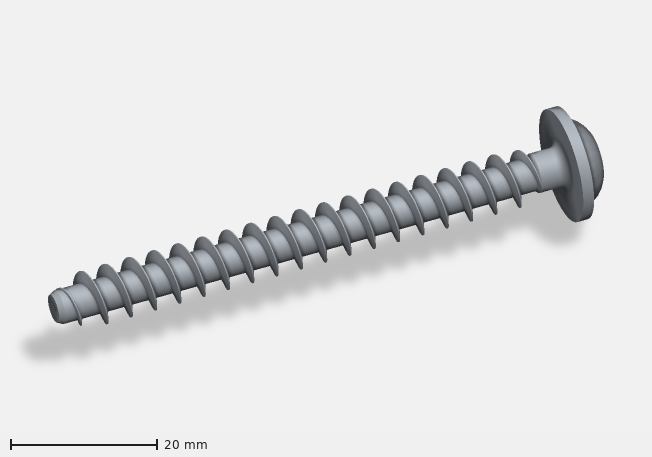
import cadquery as cq
import math

total_length = 79.8

flange_diameter = 16.0
flange_thickness = 1.6
dome_height = 3.2
dome_base_radius = 6.5
dome_top_radius = 3.75
dome_bulge = 0.5

shank_radius = 2.8
shank_length = 4.0
neck_fillet = 1.0
core_diameter = 4.8
core_taper_length = 0.5
tip_radius = 2.0
tip_taper_length = 0.8
tip_dimple_depth = 0.2

thread_diameter = 8.05
pitch = 3.6
crest_width = 0.15
root_width = 1.35
root_overlap = 0.2
buried_depth = 0.1
thread_start = 2.55
thread_end = 74.2
crest_distance = 7.7
fade_in_turns = 1.0
fade_out_turns = 1.2
points_per_turn = 16

flange_radius = flange_diameter / 2
core_radius = core_diameter / 2
thread_radius = thread_diameter / 2
head_height = flange_thickness + dome_height
tip_y = head_height - total_length


def dome_middle():
    """Point halfway along the dome arc, as (radius, Y)."""
    radial_span = dome_base_radius - dome_top_radius
    chord = math.hypot(radial_span, dome_height)
    radius = dome_top_radius + radial_span / 2 + dome_bulge * dome_height / chord
    y = flange_thickness + dome_height / 2 + dome_bulge * radial_span / chord
    return radius, y


def make_body():
    """Revolve the head, neck, shank and bare core about the Y axis."""
    fillet_offset = neck_fillet * (1 - math.sqrt(0.5))
    return (
        cq.Workplane("XY")
        .moveTo(0, head_height)
        .lineTo(dome_top_radius, head_height)
        .threePointArc(dome_middle(), (dome_base_radius, flange_thickness))
        .lineTo(flange_radius, flange_thickness)
        .lineTo(flange_radius, 0)
        .lineTo(shank_radius + neck_fillet, 0)
        .threePointArc(
            (shank_radius + fillet_offset, -fillet_offset),
            (shank_radius, -neck_fillet),
        )
        .lineTo(shank_radius, -shank_length)
        .lineTo(core_radius, -shank_length - core_taper_length)
        .lineTo(core_radius, tip_y + tip_taper_length)
        .lineTo(tip_radius, tip_y)
        .lineTo(0, tip_y + tip_dimple_depth)
        .close()
        .revolve(360, (0, 0), (0, 1))
    )


def helix_point(distance, radius, axial_offset):
    """Point of a right-handed helix about Y, at a distance below the head underside."""
    angle = 2 * math.pi * (distance - crest_distance) / pitch
    return cq.Vector(radius * math.cos(angle), axial_offset - distance, radius * math.sin(angle))


def corner_edges(start, end, start_sink, end_sink):
    """Helical edges traced by the four profile corners along one stretch of thread.

    The sink shifts the whole profile toward the axis and changes linearly along the stretch.
    """
    root_radius = core_radius - root_overlap
    corners = (
        (root_radius, root_width / 2),
        (thread_radius, crest_width / 2),
        (thread_radius, -crest_width / 2),
        (root_radius, -root_width / 2),
    )
    steps = math.ceil((end - start) / pitch * points_per_turn)
    edges = []
    for radius, axial_offset in corners:
        points = []
        for step in range(steps + 1):
            fraction = step / steps
            distance = start + (end - start) * fraction
            sink = start_sink + (end_sink - start_sink) * fraction
            points.append(helix_point(distance, radius - sink, axial_offset))
        edges.append(cq.Edge.makeSpline(points))
    return edges


def side_faces(edges):
    """Flanks, crest and root of a stretch, each ruled between neighbouring corner edges."""
    next_edges = edges[1:] + edges[:1]
    return [cq.Face.makeRuledSurface(edge, other) for edge, other in zip(edges, next_edges)]


def end_cap(corners):
    return cq.Face.makeFromWires(cq.Wire.makePolygon(corners, close=True))


def make_thread():
    """Helical ridge that rises out of the shank and sinks into the core near the tip."""
    full_sink = thread_radius - core_radius + buried_depth
    full_start = thread_start + fade_in_turns * pitch
    full_end = thread_end - fade_out_turns * pitch

    fade_in = corner_edges(thread_start, full_start, full_sink, 0)
    full_height = corner_edges(full_start, full_end, 0, 0)
    fade_out = corner_edges(full_end, thread_end, 0, full_sink)

    faces = side_faces(fade_in) + side_faces(full_height) + side_faces(fade_out)
    faces.append(end_cap([edge.startPoint() for edge in fade_in]))
    faces.append(end_cap([edge.endPoint() for edge in fade_out]))
    return cq.Solid.makeSolid(cq.Shell.makeShell(faces))


screw = make_body().union(cq.Workplane(make_thread()))
result = cq.Workplane(screw.solids().val())